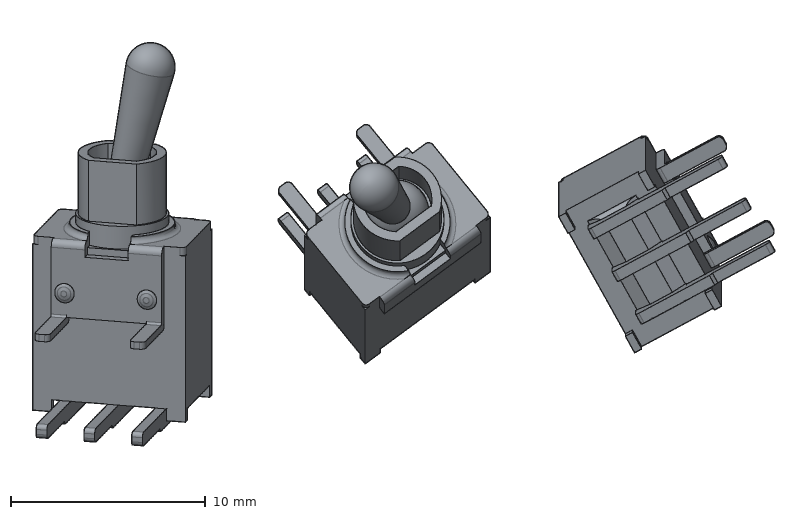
import cadquery as cq
import math


body_x = 8.13
body_y = 5.09
body_top = 9.35
corner_radius = 0.28
corner_depth = 0.44
foot_x = 1.0
foot_y = 0.42
foot_height = 0.64
seal_x = 6.08
seal_y = 2.82
seal_flat_y = 1.31
seal_drop = 0.38

plate_face_y = -3.05
plate_x = 5.88
plate_bottom = 5.27
plate_bend_radius = 0.38
tab_face_y = 2.96
tab_x = 6.28
tab_bottom = 7.51
notch_x = 2.3
notch_floor = 8.57
housing_notch_floor = 8.95

pin_tip_y = -6.35
bracket_pin_x = 0.82
bracket_pin_thick = 0.38
bracket_pin_tip_radius = 0.25
bend_inner_radius = 0.12
bend_outer_radius = 0.24

rivet_spacing = 4.4
rivet_center_x = -0.04
rivet_z = 6.56
rivet_radius = 0.52
rivet_shoulder_radius = 0.35
rivet_shoulder_height = 0.08
rivet_top_radius = 0.15
rivet_height = 0.14

terminal_pitch = 2.55
terminal_x = 0.58
terminal_bottom = -0.52
terminal_back_y = 1.5
terminal_neck_y = -1.47
terminal_step_y = -3.0
terminal_arm_top = 0.4
terminal_arm_bottom = -0.34
terminal_tip_radius = 0.24
terminal_heel_radius = 0.18

flare_top_radius = 2.7
flare_flank_radius = 0.3
flare_base_radius = flare_top_radius + flare_flank_radius
flare_lip = 0.04
flare_top = body_top + flare_flank_radius + flare_lip
collar_radius = 4.8 / 2
collar_top = 10.15
bushing_radius = 2.27
bushing_flats = 3.74
bushing_top = 13.42
bore_radius = 1.77
bore_flats = 2.7

lever_tip_z = 19.36
lever_tip_radius = 1.27
lever_tilt = 12.6
pivot_z = 11.37
ball_radius = 1.61
lever_neck_offset = 2.1
lever_neck_radius = 0.95


def centered_block(width, y0, y1, z0, z1):
    """Box centred on X = 0 that spans the given Y and Z ranges."""
    corner_block = cq.Workplane("XY").box(width, y1 - y0, z1 - z0, centered=False)
    return corner_block.translate((-width / 2, y0, z0))


def flatted_cylinder(radius, across_flats, z0, z1):
    """Vertical cylinder with two flats facing -Y and +Y."""
    cylinder = cq.Workplane("XY").workplane(offset=z0).circle(radius).extrude(z1 - z0)
    return cylinder.intersect(centered_block(2 * radius, -across_flats / 2, across_flats / 2, z0, z1))


def make_housing():
    """Box on four corner feet, its corners rounded just below the top face."""
    half_y = body_y / 2
    lower = centered_block(body_x, -half_y, half_y, 0, body_top - corner_depth)
    gap_x = body_x - 2 * foot_x
    gap_y = half_y - foot_y
    lower = lower.cut(centered_block(gap_x, -half_y, half_y, 0, foot_height))
    lower = lower.cut(centered_block(body_x, -gap_y, gap_y, 0, foot_height))
    upper = centered_block(body_x, -half_y, half_y, body_top - corner_depth, body_top)
    return lower.union(upper.edges("|Z").fillet(corner_radius))


def make_seal():
    """Shallow bead of sealant under the housing, with sloping flanks and rounded ends."""
    seal_bottom = foot_height - seal_drop
    bead = (
        cq.Workplane("YZ")
        .moveTo(-seal_y / 2, foot_height)
        .lineTo(-seal_flat_y / 2, seal_bottom)
        .lineTo(seal_flat_y / 2, seal_bottom)
        .lineTo(seal_y / 2, foot_height)
        .close()
        .extrude(seal_x / 2, both=True)
    )
    envelope = centered_block(seal_x, -seal_y / 2, seal_y / 2, seal_bottom, foot_height + seal_drop)
    return bead.intersect(envelope.edges("|Y and <Z").fillet(seal_drop))


def make_bracket():
    """Front plate and rear tab, each with its top outer edge bent round."""
    plate = centered_block(plate_x, plate_face_y, 0, plate_bottom, body_top)
    tab = centered_block(tab_x, 0, tab_face_y, tab_bottom, body_top)
    plate = plate.edges("|X and <Y and >Z").fillet(plate_bend_radius)
    tab = tab.edges("|X and >Y and >Z").fillet(plate_bend_radius)
    return plate.union(tab)


def make_bracket_pin(side):
    """Pin bent forward from one lower corner of the front plate."""
    back_y = -body_y / 2
    bottom = plate_bottom - bracket_pin_thick
    bend_top = plate_bottom + bend_inner_radius
    bend_y = plate_face_y - bend_inner_radius
    profile = (
        cq.Workplane("YZ")
        .moveTo(back_y, bend_top)
        .lineTo(back_y, bottom + bend_outer_radius)
        .radiusArc((back_y - bend_outer_radius, bottom), bend_outer_radius)
        .lineTo(pin_tip_y, bottom)
        .lineTo(pin_tip_y, plate_bottom)
        .lineTo(bend_y, plate_bottom)
        .radiusArc((plate_face_y, bend_top), -bend_inner_radius)
        .close()
    )
    pin = profile.extrude(bracket_pin_x / 2, both=True)
    pin = pin.edges("|Z and <Y").fillet(bracket_pin_tip_radius)
    return pin.translate((side * (plate_x - bracket_pin_x) / 2, 0, 0))


def make_rivet_head(x):
    """Low two-slope head with a small flat top, on the front plate."""
    head = (
        cq.Workplane("XY")
        .moveTo(0, plate_face_y)
        .lineTo(rivet_radius, plate_face_y)
        .lineTo(rivet_shoulder_radius, plate_face_y - rivet_shoulder_height)
        .lineTo(rivet_top_radius, plate_face_y - rivet_height)
        .lineTo(0, plate_face_y - rivet_height)
        .close()
        .revolve(360, (0, 0, 0), (0, 1, 0))
    )
    return head.translate((x, 0, rivet_z))


def make_terminal(x):
    """Flat terminal leaving the housing underside and running forward."""
    profile = (
        cq.Workplane("YZ")
        .moveTo(terminal_back_y, foot_height)
        .lineTo(terminal_back_y, terminal_bottom)
        .lineTo(terminal_step_y + terminal_heel_radius, terminal_bottom)
        .lineTo(terminal_step_y, terminal_arm_bottom)
        .lineTo(pin_tip_y, terminal_arm_bottom)
        .lineTo(pin_tip_y, terminal_arm_top)
        .lineTo(terminal_neck_y, terminal_arm_top)
        .lineTo(terminal_neck_y, foot_height)
        .close()
    )
    terminal = profile.extrude(terminal_x / 2, both=True)
    terminal = terminal.edges("|X and <Y").fillet(terminal_tip_radius)
    terminal = terminal.edges("|X and >Y and <Z").fillet(terminal_heel_radius)
    return terminal.translate((x, 0, 0))


def make_flare():
    """Ring drawn up from the bracket, with a concave flank that stops at the bracket bends."""
    flank_top = flare_top - flare_lip
    ring = (
        cq.Workplane("XZ")
        .moveTo(0, body_top)
        .lineTo(flare_base_radius, body_top)
        .radiusArc((flare_top_radius, flank_top), flare_flank_radius)
        .lineTo(flare_top_radius, flare_top)
        .lineTo(0, flare_top)
        .close()
        .revolve(360, (0, 0, 0), (0, 1, 0))
    )
    front_bend_y = plate_face_y + plate_bend_radius
    rear_bend_y = tab_face_y - plate_bend_radius
    limits = centered_block(2 * flare_base_radius, front_bend_y, rear_bend_y, body_top, flare_top)
    return ring.intersect(limits)


def make_notch(face_y):
    """Material removed from the bracket, ring and housing between the bushing and one bracket face."""
    wall_y = math.copysign(body_y / 2, face_y)
    over_plate = centered_block(notch_x, *sorted((wall_y, face_y)), notch_floor, flare_top)
    over_body = centered_block(notch_x, *sorted((0, wall_y)), housing_notch_floor, flare_top)
    return over_plate.union(over_body)


def make_lever():
    """Tapered lever with a round tip, rising from a ball and tilted toward +X."""
    tilt = math.radians(lever_tilt)
    length = (lever_tip_z - lever_tip_radius - pivot_z) / math.cos(tilt)
    taper = (lever_tip_radius - lever_neck_radius) / (length - lever_neck_offset)
    root_radius = lever_neck_radius - taper * lever_neck_offset
    shaft = (
        cq.Workplane("XZ")
        .lineTo(root_radius, 0)
        .lineTo(lever_tip_radius, length)
        .radiusArc((0, length + lever_tip_radius), -lever_tip_radius)
        .close()
        .revolve(360, (0, 0, 0), (0, 1, 0))
    )
    ball = cq.Workplane("XY").sphere(ball_radius)
    lever = shaft.union(ball).rotate((0, 0, 0), (0, 1, 0), lever_tilt)
    return lever.translate((0, 0, pivot_z))


shell = make_housing().union(make_bracket()).union(make_flare())
for face_y in (plate_face_y, tab_face_y):
    shell = shell.cut(make_notch(face_y))

collar_height = collar_top - notch_floor
collar = cq.Workplane("XY").workplane(offset=notch_floor).circle(collar_radius).extrude(collar_height)
bushing = flatted_cylinder(bushing_radius, bushing_flats, notch_floor, bushing_top)
bore = flatted_cylinder(bore_radius, bore_flats, pivot_z, bushing_top)
result = shell.union(collar).union(bushing).cut(bore).union(make_lever())

for side in (-1, 1):
    result = result.union(make_bracket_pin(side))
    result = result.union(make_rivet_head(rivet_center_x + side * rivet_spacing / 2))
result = result.union(make_seal())
for place in (-1, 0, 1):
    result = result.union(make_terminal(place * terminal_pitch))